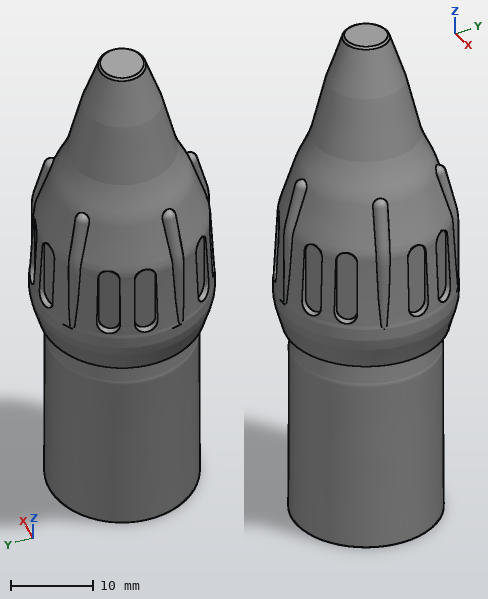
import cadquery as cq
import math

height = 67.7
body_radius = 11.3

sleeve_bottom_radius = 9.5
sleeve_top_radius = 9.4
sleeve_top = 23.1
sleeve_chamfer = 0.2
neck_bottom = 23.55
neck_bottom_radius = 9.35
neck_top_radius = 9.1
body_bottom = 26.5

skirt_bottom_radius = 10.2
skirt_edge_round = 0.2
skirt_top = 29.45
skirt_top_radius = 11.05
band_bottom = 30.95
band_top = 32.5
grip_bottom = 33.0
grip_bottom_radius = 11.25
grip_top = 42.1
grip_top_radius = 10.75
shoulder_bottom = 43.5
shoulder_bottom_radius = 10.5
shoulder_top = 48.9
shoulder_top_radius = 8.8

nose_blend_middle = 50.7
nose_blend_radius = 8.05
nose_bottom = 53.75
nose_bottom_radius = 6.8
nose_middle = 60.7
nose_middle_radius = 5.1
tip_bottom = 61.55
tip_bottom_radius = 4.9
tip_radius = 2.9
tip_chamfer = 0.3

rib_count = 5
places_per_rib = 3
place_pitch = 360 / (rib_count * places_per_rib)
first_rib_angle = -90

rib_bar_radius = 0.915
rib_bend_bottom = 41.65
rib_lean = 14.5
rib_bend_radius = 8.6
rib_ball_height = 48.7

slot_width = 2.6
slot_bottom = 33.4
slot_top = 42.9
slot_floor_radius = 10.5
slot_wall_flare = 15.0
slot_cut_reach = 2.7


def turned_body():
    """Solid of revolution: half outline from the bottom face up to the tip."""
    profile = (
        cq.Workplane("XZ")
        .lineTo(sleeve_bottom_radius - sleeve_chamfer, 0)
        .lineTo(sleeve_bottom_radius, sleeve_chamfer)
        .lineTo(sleeve_top_radius, sleeve_top)
        .tangentArcPoint((neck_bottom_radius, neck_bottom), relative=False)
        .lineTo(neck_top_radius, body_bottom)
        .lineTo(skirt_bottom_radius - skirt_edge_round, body_bottom)
        .tangentArcPoint((skirt_bottom_radius, body_bottom + skirt_edge_round), relative=False)
        .lineTo(skirt_top_radius, skirt_top)
        .tangentArcPoint((body_radius, band_bottom), relative=False)
        .lineTo(body_radius, band_top)
        .lineTo(grip_bottom_radius, grip_bottom)
        .lineTo(grip_top_radius, grip_top)
        .tangentArcPoint((shoulder_bottom_radius, shoulder_bottom), relative=False)
        .lineTo(shoulder_top_radius, shoulder_top)
        .tangentArcPoint((nose_blend_radius, nose_blend_middle), relative=False)
        .tangentArcPoint((nose_bottom_radius, nose_bottom), relative=False)
        .lineTo(nose_middle_radius, nose_middle)
        .tangentArcPoint((tip_bottom_radius, tip_bottom), relative=False)
        .lineTo(tip_radius, height - tip_chamfer)
        .lineTo(tip_radius - tip_chamfer, height)
        .lineTo(0, height)
        .close()
    )
    return profile.revolve(360, (0, 0, 0), (0, 1, 0))


def rib():
    """One rib on the +X side, its foot flush with the widest band."""
    lean = math.radians(rib_lean)
    axis_radius = body_radius - rib_bar_radius
    bend_inset = rib_bend_radius * (1 - math.cos(lean))
    bend_top = rib_bend_bottom + rib_bend_radius * math.sin(lean)
    half_inset = rib_bend_radius * (1 - math.cos(lean / 2))
    half_rise = rib_bend_radius * math.sin(lean / 2)
    ball_inset = bend_inset + (rib_ball_height - bend_top) * math.tan(lean)

    path = (
        cq.Workplane("XZ")
        .moveTo(axis_radius, band_top)
        .lineTo(axis_radius, rib_bend_bottom)
        .threePointArc(
            (axis_radius - half_inset, rib_bend_bottom + half_rise),
            (axis_radius - bend_inset, bend_top),
        )
        .lineTo(axis_radius - ball_inset, rib_ball_height)
    )
    bar = (
        cq.Workplane("XY", origin=(axis_radius, 0, band_top))
        .circle(rib_bar_radius)
        .sweep(path)
    )
    ball_center = (axis_radius - ball_inset, 0, rib_ball_height)
    ball = cq.Workplane("XY").sphere(rib_bar_radius).translate(ball_center)
    return bar.union(ball)


def slot_cutter():
    """Cutter for one slot on the +X side, standing on the slot floor."""
    slot_middle = (slot_bottom + slot_top) / 2
    return (
        cq.Workplane("YZ", origin=(slot_floor_radius, 0, slot_middle))
        .slot2D(slot_top - slot_bottom, slot_width, 90)
        .extrude(slot_cut_reach, taper=-slot_wall_flare)
    )


def turned_to(shape, angle):
    return shape.rotate((0, 0, 0), (0, 0, 1), angle)


result = turned_body()
for rib_index in range(rib_count):
    rib_angle = first_rib_angle + rib_index * places_per_rib * place_pitch
    result = result.union(turned_to(rib(), rib_angle))
    for slot_place in range(1, places_per_rib):
        slot_angle = rib_angle + slot_place * place_pitch
        result = result.cut(turned_to(slot_cutter(), slot_angle))